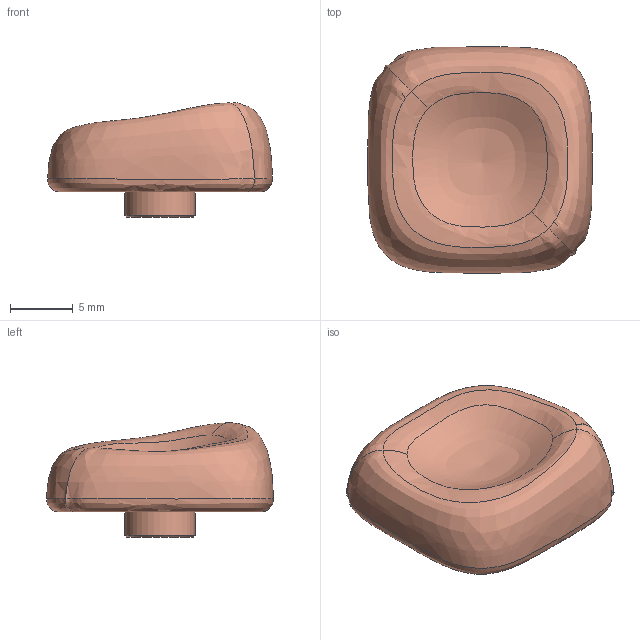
import cadquery as cq
import math

base_half_x = 8.99
base_half_y = 9.07
base_squareness = 4.0
base_fillet = 1.0

high_corner_angle = math.radians(-45)
crest_half_width = 7.0
crest_squareness = 2.8
crest_low = 4.8
crest_high = 7.11
crest_falloff = 2.4
crest_corner_lift = 0.3

wall_side_squareness = 2.6
wall_corner_squareness = 2.1

dish_x = -0.77
dish_y = 0.8
dish_floor = 3.6
dish_radius = 10.7
dish_edge_half_width = 5.37
dish_edge_squareness = 2.6

stem_diameter = 5.6
stem_length = 2.0
stem_chamfer = 0.15

angle_steps = 24
profile_steps = 8
surface_tolerance = 0.001
sewing_tolerance = 0.01
dish_guide_radii = (1.5, 3.0)
dish_guide_count = 8


def direction(angle):
    return cq.Vector(math.cos(angle), math.sin(angle), 0)


def cornerness(angle):
    """One toward each corner of the rounded square, zero toward each side."""
    return (1 - math.cos(4 * angle)) / 2


def superellipse_radius(angle, half_x, half_y, power):
    """Distance from the center of a superellipse to its outline in the given direction."""
    x_term = abs(math.cos(angle) / half_x) ** power
    y_term = abs(math.sin(angle) / half_y) ** power
    return (x_term + y_term) ** (-1 / power)


def at_height(point, height):
    return cq.Vector(point.x, point.y, height)


def on_dish(point):
    """The point moved vertically onto the dish sphere."""
    across = math.hypot(point.x - dish_x, point.y - dish_y)
    return at_height(point, dish_floor + dish_radius - math.sqrt(dish_radius**2 - across**2))


def base_point(angle):
    return direction(angle) * superellipse_radius(angle, base_half_x, base_half_y, base_squareness)


def crest_point(angle):
    radius = superellipse_radius(angle, crest_half_width, crest_half_width, crest_squareness)
    nearness = (1 + math.cos(angle - high_corner_angle)) / 2
    slope_rise = crest_high - crest_corner_lift - crest_low
    lift = crest_corner_lift * cornerness(angle)
    height = crest_low + slope_rise * nearness**crest_falloff + lift
    return at_height(direction(angle) * radius, height)


def dish_edge_point(angle):
    radius = superellipse_radius(
        angle, dish_edge_half_width, dish_edge_half_width, dish_edge_squareness
    )
    return on_dish(direction(angle) * radius)


def wall_point(angle, progress):
    """Quarter superellipse, upright at the base and level at the crest."""
    base = base_point(angle)
    crest = crest_point(angle)
    turn = progress * math.pi / 2
    corner_change = wall_corner_squareness - wall_side_squareness
    squareness = wall_side_squareness + corner_change * cornerness(angle)
    reach = superellipse_radius(turn, 1, 1, squareness)
    inward = 1 - reach * math.cos(turn)
    return at_height(base + (crest - base) * inward, crest.z * reach * math.sin(turn))


def rim_point(angle, progress):
    """Parabola, level at the crest and tangent to the sphere at the dish edge."""
    crest = crest_point(angle)
    edge = dish_edge_point(angle)
    outward = direction(angle)
    from_floor = edge - cq.Vector(dish_x, dish_y, edge.z)
    slope = from_floor.dot(outward) / (dish_floor + dish_radius - edge.z)
    corner = at_height(edge + outward * ((crest.z - edge.z) / slope), crest.z)
    rest = 1 - progress
    return crest * rest**2 + corner * (2 * rest * progress) + edge * progress**2


def half_turn_face(point_at, start_angle):
    """Smooth face over half a turn through points given by direction and profile progress."""
    grid = []
    for i in range(angle_steps + 1):
        angle = start_angle + math.pi * i / angle_steps
        grid.append([point_at(angle, j / profile_steps) for j in range(profile_steps + 1)])
    return cq.Face.makeSplineApprox(grid, tol=surface_tolerance, minDeg=3, maxDeg=6)


def full_turn_faces(point_at):
    starts = (high_corner_angle, high_corner_angle + math.pi)
    return [half_turn_face(point_at, start) for start in starts]


def make_base_face(wall_faces):
    edges = [cq.Workplane(face).edges("<Z").val() for face in wall_faces]
    return cq.Face.makeFromWires(cq.Wire.combine(edges, sewing_tolerance)[0])


def make_dish_face(rim_faces):
    """Spherical floor spanning the inner edges of the rim."""
    center = cq.Vector(dish_x, dish_y, dish_floor)
    guides = [center]
    for radius in dish_guide_radii:
        for i in range(dish_guide_count):
            angle = 2 * math.pi * i / dish_guide_count
            guides.append(on_dish(center + direction(angle) * radius))
    innermost = cq.NearestToPointSelector(center.toTuple())
    edges = [cq.Workplane(face).edges(innermost).val() for face in rim_faces]
    return cq.Face.makeNSidedSurface(edges, guides)


def make_body():
    wall_faces = full_turn_faces(wall_point)
    rim_faces = full_turn_faces(rim_point)
    faces = wall_faces + rim_faces + [make_base_face(wall_faces), make_dish_face(rim_faces)]
    shell = cq.occ_impl.shapes.shell(faces, tol=sewing_tolerance)
    body = cq.Workplane(cq.Solid.makeSolid(shell))
    return body.faces("<Z").edges().fillet(base_fillet)


def make_stem():
    stem = cq.Workplane("XY").circle(stem_diameter / 2).extrude(-stem_length)
    return stem.faces("<Z").chamfer(stem_chamfer)


result = make_body().union(make_stem())